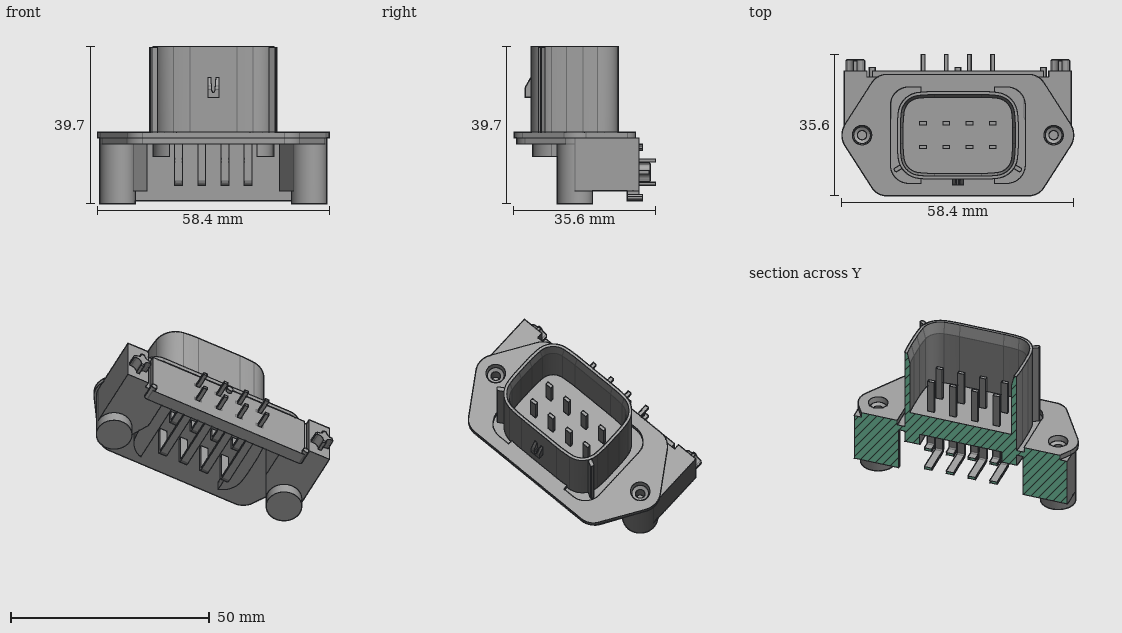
import cadquery as cq
import math


screw_x = 24.1
flange_tip_radius = 5.1
flange_half_y = 15.3
flange_corner_radius = 4.5
flange_corner_x = 17.9
flange_thickness = 1.4
base_half_y = 14.65
base_bottom = -3.0

column_radius = 4.5
column_bottom = -18.05
hole_top_radius = 2.45
hole_neck_radius = 2.1
bore_radius = 1.15
bore_start = -1.85
bore_floor = -5.85

shroud_center_y = -0.05
shroud_half_x = 15.25
shroud_half_y = 11.05
shroud_height = 21.6
shroud_floor = 3.3
flat_half_x = 5.9
flat_half_y = 2.05
corner_start_x = 10.0
corner_start_y = 5.8
side_sag = 0.25
wall_thickness = 1.45
rim_thickness = 0.75
lead_in_depth = 3.1

pocket_half_x = 17.0
pocket_half_y = 12.15
pocket_radius = 4.7
pocket_bridge_half_x = 9.2
skirt_inner_x = 11.0
skirt_bottom = -6.15

arm_outer_x = screw_x + column_radius
arm_inner_x = 16.65
arm_bottom = -14.8
arm_bevel_y = 4.5
arm_bevel_angle = 28
wall_half_x = 21.55
wall_front_y = 13.15
rear_y = 16.2
wall_bottom = -17.3
arm_step_x = 22.85
arm_step_y = base_half_y

peg_radius = 0.8
peg_half_width = 0.75
peg_end_y = 17.05
low_peg_z = wall_bottom + peg_radius
high_peg_z = -3.8
post_x = 25.8
post_z = -10.1
post_half_span = 2.4
post_rib_half = 0.44
post_flute_end = 1.9
post_end_y = 19.05
post_chamfer = 0.35

pin_columns = 4
pin_pitch = 5.85
row_offset = 3.0
pin_thickness = 0.8
blade_width = 1.7
shank_width = 2.0
tail_width = 1.0
blade_top = 12.5
front_row_bottom = -13.4
back_row_bottom = -7.55
bend_radius = 1.1
tail_end_y = 20.3

latch_width = 2.75
latch_reach = 1.45
latch_bottom = 8.75
latch_shoulder = 11.2
latch_top = 13.8
latch_round = 1.85
slot_top_width = 1.3
slot_width = 0.8
slot_tip_width = 0.35
slot_tip = 10.05
slot_taper = 0.5
key_width = 1.0
key_angle = 30
key_root_x = 12.85
key_root_y = -7.1
key_length = 3.55
key_drop = 0.25
key_chamfer = 0.25


def box(x0, x1, y0, y1, z0, z1):
    """Box between two opposite corners."""
    return cq.Workplane("XY").box(x1 - x0, y1 - y0, z1 - z0, centered=False).translate((x0, y0, z0))


def mirrored(solid):
    """The solid together with its mirror image across X = 0."""
    return solid.union(solid.mirror("YZ"))


def flange_plate(tip, half_y, z_top, thickness):
    """Six-sided plate whose straight edges are tangent to its round corners."""
    corner = flange_corner_radius
    corner_y = half_y - corner
    dx = screw_x - flange_corner_x
    distance = math.hypot(dx, corner_y)
    normal = math.atan2(dx, corner_y) + math.asin((tip - corner) / distance)
    middle = (normal + math.pi / 2) / 2

    def on_tip(angle, sx, sy):
        return (sx * (screw_x + tip * math.cos(angle)), sy * tip * math.sin(angle))

    def on_corner(angle, sx, sy):
        return (
            sx * (flange_corner_x + corner * math.cos(angle)),
            sy * (corner_y + corner * math.sin(angle)),
        )

    top = math.pi / 2
    return (
        cq.Workplane("XY", origin=(0, 0, z_top))
        .moveTo(*on_tip(normal, 1, -1))
        .threePointArc(on_tip(0, 1, 1), on_tip(normal, 1, 1))
        .lineTo(*on_corner(normal, 1, 1))
        .threePointArc(on_corner(middle, 1, 1), on_corner(top, 1, 1))
        .lineTo(*on_corner(top, -1, 1))
        .threePointArc(on_corner(middle, -1, 1), on_corner(normal, -1, 1))
        .lineTo(*on_tip(normal, -1, 1))
        .threePointArc(on_tip(0, -1, 1), on_tip(normal, -1, -1))
        .lineTo(*on_corner(normal, -1, -1))
        .threePointArc(on_corner(middle, -1, -1), on_corner(top, -1, -1))
        .lineTo(*on_corner(top, 1, -1))
        .threePointArc(on_corner(middle, 1, -1), on_corner(normal, 1, -1))
        .close()
        .extrude(-thickness)
    )


def shroud_outline(inset, z):
    """Rounded rectangle with gently crowned sides, moved inward by the inset."""
    half_x = shroud_half_x - inset
    half_y = shroud_half_y - inset
    shoulder_x = half_x - side_sag
    shoulder_y = half_y - side_sag
    start_x = corner_start_x
    start_y = corner_start_y
    return (
        cq.Workplane("XY", origin=(0, shroud_center_y, z))
        .moveTo(-flat_half_x, -half_y)
        .lineTo(flat_half_x, -half_y)
        .tangentArcPoint((start_x, -shoulder_y), relative=False)
        .tangentArcPoint((shoulder_x, -start_y), relative=False)
        .tangentArcPoint((half_x, -flat_half_y), relative=False)
        .lineTo(half_x, flat_half_y)
        .tangentArcPoint((shoulder_x, start_y), relative=False)
        .tangentArcPoint((start_x, shoulder_y), relative=False)
        .tangentArcPoint((flat_half_x, half_y), relative=False)
        .lineTo(-flat_half_x, half_y)
        .tangentArcPoint((-start_x, shoulder_y), relative=False)
        .tangentArcPoint((-shoulder_x, start_y), relative=False)
        .tangentArcPoint((-half_x, flat_half_y), relative=False)
        .lineTo(-half_x, -flat_half_y)
        .tangentArcPoint((-shoulder_x, -start_y), relative=False)
        .tangentArcPoint((-start_x, -shoulder_y), relative=False)
        .tangentArcPoint((-flat_half_x, -half_y), relative=False)
        .close()
    )


def shroud_cavity():
    """Straight cavity with a flared lead-in at the rim."""
    lead_in_start = shroud_height - lead_in_depth
    straight = shroud_outline(wall_thickness, shroud_floor).extrude(lead_in_start - shroud_floor)
    lead_in = cq.Workplane("XY").add(
        cq.Solid.makeLoft(
            [
                shroud_outline(wall_thickness, lead_in_start).val(),
                shroud_outline(rim_thickness, shroud_height).val(),
            ],
            True,
        )
    )
    return straight.union(lead_in)


def relief_pockets():
    """Pockets through the flange around both ends of the shroud."""
    ring = (
        cq.Workplane("XY")
        .rect(2 * pocket_half_x, 2 * pocket_half_y)
        .extrude(-flange_thickness)
        .edges("|Z")
        .fillet(pocket_radius)
    )
    bridge = box(
        -pocket_bridge_half_x, pocket_bridge_half_x, -pocket_half_y, pocket_half_y, -flange_thickness, 0
    )
    return ring.cut(bridge)


def skirts():
    """Ends of the shroud outline carried on below the base plate."""
    body = shroud_outline(0, skirt_bottom).extrude(base_bottom - skirt_bottom)
    middle = box(
        -skirt_inner_x, skirt_inner_x, -pocket_half_y, pocket_half_y, skirt_bottom, base_bottom
    )
    return body.cut(middle)


def screw_column():
    """Round column hanging from the underside of the flange."""
    top = cq.Workplane("XY", origin=(screw_x, 0, -flange_thickness))
    return top.circle(column_radius).extrude(column_bottom + flange_thickness)


def screw_hole():
    """Tapered mouth through the flange, then a seat cone and a blind bore."""
    profile = [
        (0, 0),
        (hole_top_radius, 0),
        (hole_neck_radius, -flange_thickness),
        (bore_radius, bore_start),
        (bore_radius, bore_floor),
        (0, bore_floor),
    ]
    return (
        cq.Workplane("XZ").polyline(profile).close().revolve(360, (0, 0), (0, 1)).translate((screw_x, 0, 0))
    )


def arm():
    """Side arm between a screw column and the rear face, bevelled tangent to the column
    and stepped back beside the rear wall."""
    bevel_start = (
        screw_x - column_radius * math.cos(math.radians(arm_bevel_angle)),
        -column_radius * math.sin(math.radians(arm_bevel_angle)),
    )
    outline = [
        (screw_x, 0),
        (arm_outer_x, 0),
        (arm_outer_x, rear_y),
        (arm_inner_x, rear_y),
        (arm_inner_x, arm_bevel_y),
        bevel_start,
    ]
    top = cq.Workplane("XY", origin=(0, 0, -flange_thickness))
    body = top.polyline(outline).close().extrude(arm_bottom + flange_thickness)
    step = box(arm_inner_x, arm_step_x, arm_step_y, rear_y, arm_bottom, -flange_thickness)
    return body.cut(step)


def rear_wall():
    """Plain wall between the two arms."""
    return box(-wall_half_x, wall_half_x, wall_front_y, rear_y, wall_bottom, base_bottom)


def peg(x, z, y_start):
    """Round peg with flattened sides, running rearward along Y."""
    cylinder = cq.Workplane("XZ", origin=(x, y_start, z)).circle(peg_radius).extrude(y_start - peg_end_y)
    flats = box(
        x - peg_half_width, x + peg_half_width, y_start, peg_end_y, z - peg_radius, z + peg_radius
    )
    return cylinder.intersect(flats)


def locating_post():
    """Cross-shaped post with concave flutes between its four ribs."""
    tip = post_half_span
    rib = post_rib_half
    end = post_flute_end
    flute_radius = end - rib
    mid = end - flute_radius * math.sqrt(0.5)

    def turned(u, v, angle):
        cosine = math.cos(angle)
        sine = math.sin(angle)
        return (u * cosine - v * sine, u * sine + v * cosine)

    outline = cq.Workplane("XZ", origin=(post_x, rear_y, post_z)).moveTo(tip, -rib)
    for quarter in range(4):
        angle = quarter * math.pi / 2
        outline = (
            outline.lineTo(*turned(tip, rib, angle))
            .lineTo(*turned(end, rib, angle))
            .threePointArc(turned(mid, mid, angle), turned(rib, end, angle))
            .lineTo(*turned(rib, tip, angle))
        )
    post = outline.close().extrude(rear_y - post_end_y)
    envelope = (
        cq.Workplane("XZ", origin=(post_x, rear_y, post_z))
        .circle(math.hypot(tip, rib))
        .extrude(rear_y - post_end_y)
        .faces(">Y")
        .chamfer(post_chamfer)
    )
    return post.intersect(envelope)


def pin(x, y, bottom):
    """Contact: blade in the shroud, shank below it, rounded bend and rearward tail."""
    front = y - pin_thickness / 2
    back = y + pin_thickness / 2
    blade = box(x - blade_width / 2, x + blade_width / 2, front, back, shroud_floor, blade_top)
    inner_radius = bend_radius - pin_thickness
    shank = (
        cq.Workplane("YZ", origin=(x - shank_width / 2, 0, 0))
        .moveTo(front, base_bottom)
        .lineTo(front, bottom + bend_radius)
        .radiusArc((front + bend_radius, bottom), -bend_radius)
        .lineTo(rear_y, bottom)
        .lineTo(rear_y, bottom + pin_thickness)
        .lineTo(back + inner_radius, bottom + pin_thickness)
        .radiusArc((back, bottom + bend_radius), inner_radius)
        .lineTo(back, base_bottom)
        .close()
        .extrude(shank_width)
    )
    tail = box(
        x - tail_width / 2, x + tail_width / 2, rear_y, tail_end_y, bottom, bottom + pin_thickness
    )
    return blade.union(shank).union(tail)


def latch():
    """Ramped catch on the front of the shroud, split by a narrowing slot."""
    face = shroud_center_y - shroud_half_y
    tip = face - latch_reach
    root = face + wall_thickness / 2
    ramp = (
        cq.Workplane("YZ", origin=(-latch_width / 2, 0, 0))
        .polyline(
            [
                (root, latch_bottom),
                (tip, latch_bottom),
                (tip, latch_shoulder),
                (face, latch_top),
                (root, latch_top),
            ]
        )
        .close()
        .extrude(latch_width)
    )
    ramp = ramp.edges(cq.selectors.NearestToPointSelector((0, tip, latch_shoulder))).fillet(latch_round)
    slot = (
        cq.Workplane("XZ", origin=(0, face, 0))
        .polyline(
            [
                (slot_tip_width / 2, slot_tip),
                (slot_width / 2, slot_tip + slot_taper),
                (slot_top_width / 2, latch_top),
                (-slot_top_width / 2, latch_top),
                (-slot_width / 2, slot_tip + slot_taper),
                (-slot_tip_width / 2, slot_tip),
            ]
        )
        .close()
        .extrude(latch_reach)
    )
    return ramp.cut(slot)


def keying_rib():
    """Upright rib standing out diagonally from a front corner of the shroud."""
    bottom = -flange_thickness
    return (
        box(0, key_length, -key_width / 2, key_width / 2, bottom, shroud_height - key_drop)
        .edges(">X and |Z")
        .chamfer(key_chamfer)
        .rotate((0, 0, 0), (0, 0, 1), -key_angle)
        .translate((key_root_x, key_root_y, 0))
    )


body = flange_plate(flange_tip_radius, flange_half_y, 0, flange_thickness)
body = body.cut(relief_pockets())
base_thickness = -flange_thickness - base_bottom
body = body.union(flange_plate(column_radius, base_half_y, -flange_thickness, base_thickness))

body = body.union(shroud_outline(0, base_bottom).extrude(shroud_height - base_bottom))
body = body.union(mirrored(keying_rib()))
body = body.union(latch())
body = body.cut(shroud_cavity())
body = body.union(skirts())

body = body.union(mirrored(screw_column()))
body = body.union(mirrored(arm()))
body = body.union(rear_wall())
body = body.cut(mirrored(screw_hole()))

body = body.union(mirrored(peg(wall_half_x, low_peg_z, wall_front_y)))
body = body.union(peg(0, high_peg_z, rear_y))
body = body.union(mirrored(locating_post()))

for column in range(pin_columns):
    pin_x = (column - (pin_columns - 1) / 2) * pin_pitch
    body = body.union(pin(pin_x, -row_offset, front_row_bottom))
    body = body.union(pin(pin_x, row_offset, back_row_bottom))

result = body